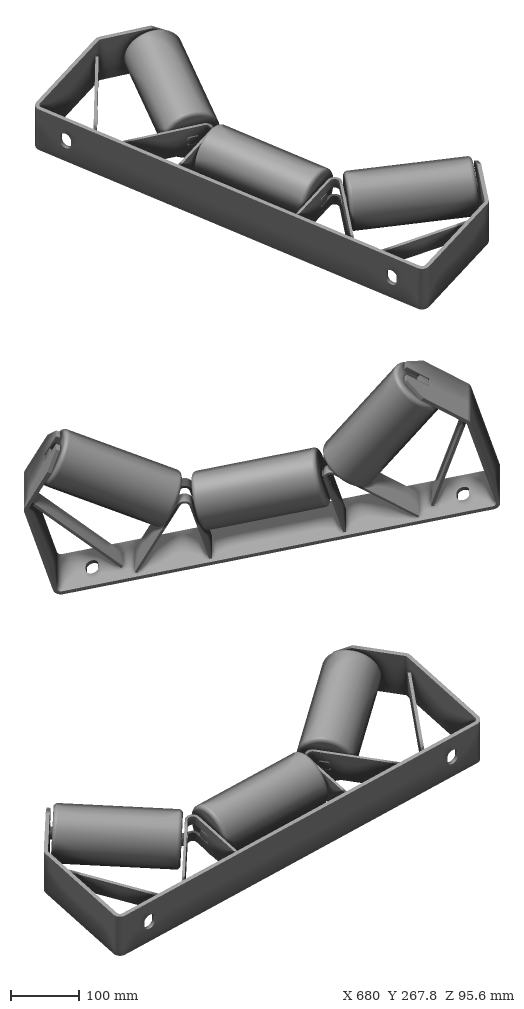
import cadquery as cq
import math

FRAME_WIDTH = 680.0
FRAME_HEIGHT = 80.0
FRAME_THICKNESS = 6.0
FRAME_BEND_RADIUS = 6.0
SHOULDER_Y = 179.0
TIP_CHAMFER_LENGTH = 30.0
TIP_CHAMFER_HEIGHT = 20.0
MOUNT_SLOT_SPACING = 564.5
MOUNT_SLOT_WIDTH = 19.0
MOUNT_SLOT_LENGTH = 28.0

ROLLER_LENGTH = 190.5
ROLLER_DIAMETER = 89.0
ROLLER_EDGE_RADIUS = 6.0
SHAFT_LENGTH = 208.0
SHAFT_RADIUS = 9.5
SHAFT_FLAT_HEIGHT = 14.0
TROUGH_ANGLE = 40.0
FORWARD_TILT = 2.0
MIDDLE_ROLLER_Y = 99.0
MIDDLE_ROLLER_Z = -7.5
SIDE_ROLLER_X = 207.0
SIDE_ROLLER_Y = 175.0
SIDE_ROLLER_Z = -4.0

SHAFT_SLOT_WIDTH = 16.0
ARM_SLOT_LENGTH = 41.0

BRACKET_THICKNESS = 4.0
BRACKET_HEIGHT = 50.0
BRACKET_BEND_RADIUS = 7.5
UPRIGHT_LEG_GAP = 5.0
SLOPING_LEG_GAP = 4.0

BRACE_THICKNESS = 5.0
BRACE_HEIGHT = 30.0
BRACE_WALL_Y = 166.0
BRACE_BASE_X = 238.0

trough = math.radians(TROUGH_ANGLE)
axis_outward = (-math.cos(trough), math.sin(trough))
arm_upward = (math.sin(trough), math.cos(trough))
half_width = FRAME_WIDTH / 2
slot_floor_distance = SHAFT_RADIUS
upright_leg_distance = ROLLER_LENGTH / 2 + UPRIGHT_LEG_GAP
sloping_leg_distance = ROLLER_LENGTH / 2 + SLOPING_LEG_GAP
arm_slot_z = SIDE_ROLLER_Z + math.sin(math.radians(FORWARD_TILT)) * SHAFT_LENGTH / 2

distance_to_shaft = ((half_width - SIDE_ROLLER_X) * arm_upward[0]
                     + (SIDE_ROLLER_Y - SHOULDER_Y) * arm_upward[1])
arm_length = distance_to_shaft - slot_floor_distance + ARM_SLOT_LENGTH


def moved(point, direction, distance):
    """The point shifted along a direction in the XY plane."""
    return (point[0] + direction[0] * distance, point[1] + direction[1] * distance)


def mirrored_x(body):
    return body.mirror("YZ")


def offset_path(points, thickness):
    """The path shifted to its left by the thickness, with mitred corners."""
    normals = []
    for (x0, y0), (x1, y1) in zip(points, points[1:]):
        length = math.hypot(x1 - x0, y1 - y0)
        normals.append(((y0 - y1) / length, (x1 - x0) / length))
    befores = normals[:1] + normals
    afters = normals + normals[-1:]
    shifted = []
    for point, before, after in zip(points, befores, afters):
        mitre = thickness / (1 + before[0] * after[0] + before[1] * after[1])
        shifted.append(moved(point, (before[0] + after[0], before[1] + after[1]), mitre))
    return shifted


def bent_strip(outside, thickness, height, center_z, bend_radius=0):
    """A flat bar on edge whose outside face follows a path, with its material on the left."""
    inside = offset_path(outside, thickness)
    strip = (cq.Workplane("XY", origin=(0, 0, center_z - height / 2))
             .polyline(outside + inside[::-1]).close().extrude(height))
    for corners, radius in ((outside, bend_radius + thickness), (inside, bend_radius)):
        for x, y in corners[1:-1]:
            corner = cq.selectors.NearestToPointSelector((x, y, center_z))
            strip = strip.edges(corner).fillet(radius)
    return strip


def side_axis_plane(center_z):
    """Plane at the -X side roller with its x along the arm, its y along Z and its normal outward."""
    return cq.Plane(origin=(-SIDE_ROLLER_X, SIDE_ROLLER_Y, center_z),
                    xDir=(-arm_upward[0], -arm_upward[1], 0),
                    normal=(*axis_outward, 0))


def shaft_slot(plane, depth):
    """Cutter for a slot that starts under the shaft, runs up and is open at the top.

    The plane has its x pointing down the slot; the cutter runs along the normal, or
    against it for a negative depth, and is long enough to pass any tip or bend.
    """
    cutter_length = ROLLER_LENGTH
    return (cq.Workplane(plane).center(slot_floor_distance - cutter_length / 2, 0)
            .rect(cutter_length, SHAFT_SLOT_WIDTH).extrude(depth))


def tip_chamfer(end):
    """Cutter for one corner of the -X arm tip: the upper one for end 1, the lower one for end -1."""
    tip = distance_to_shaft - arm_length
    edge = end * FRAME_HEIGHT / 2
    return (cq.Workplane(side_axis_plane(0))
            .polyline([(tip, edge),
                       (tip + TIP_CHAMFER_LENGTH, edge),
                       (tip, edge - end * TIP_CHAMFER_HEIGHT)])
            .close().extrude(ROLLER_LENGTH))


def make_frame():
    shoulder = (-half_width, SHOULDER_Y)
    left = [moved(shoulder, arm_upward, arm_length), shoulder, (-half_width, 0)]
    right = [(-x, y) for x, y in reversed(left)]
    frame = bent_strip(left + right, FRAME_THICKNESS, FRAME_HEIGHT, 0, FRAME_BEND_RADIUS)

    for end in (-1, 1):
        corner = tip_chamfer(end)
        frame = frame.cut(corner).cut(mirrored_x(corner))

    arm_slot = shaft_slot(side_axis_plane(arm_slot_z), ROLLER_LENGTH)
    frame = frame.cut(arm_slot).cut(mirrored_x(arm_slot))

    mount_slots = (cq.Workplane("XZ")
                   .pushPoints([(-MOUNT_SLOT_SPACING / 2, 0), (MOUNT_SLOT_SPACING / 2, 0)])
                   .slot2D(MOUNT_SLOT_LENGTH, MOUNT_SLOT_WIDTH, 90)
                   .extrude(-FRAME_THICKNESS))
    return frame.cut(mount_slots)


def make_bracket():
    """The -X bracket: an upright leg at the middle roller and a sloping leg at the side roller."""
    foot = (-upright_leg_distance, FRAME_THICKNESS)
    on_slope = moved((-SIDE_ROLLER_X, SIDE_ROLLER_Y), axis_outward, -sloping_leg_distance)
    to_apex = (foot[0] - on_slope[0]) / arm_upward[0]
    apex = moved(on_slope, arm_upward, to_apex)
    end_y = FRAME_THICKNESS + BRACKET_THICKNESS * axis_outward[1]
    end = moved(apex, arm_upward, (end_y - apex[1]) / arm_upward[1])
    bracket = bent_strip([foot, apex, end], BRACKET_THICKNESS, BRACKET_HEIGHT,
                         MIDDLE_ROLLER_Z, BRACKET_BEND_RADIUS)

    upright_plane = cq.Plane(origin=(0, MIDDLE_ROLLER_Y, MIDDLE_ROLLER_Z),
                             xDir=(0, -1, 0), normal=(-1, 0, 0))
    bend_depth = BRACKET_BEND_RADIUS + BRACKET_THICKNESS
    upright_slot = shaft_slot(upright_plane, upright_leg_distance + bend_depth)
    sloping_slot = shaft_slot(side_axis_plane(MIDDLE_ROLLER_Z), -sloping_leg_distance - bend_depth)
    return bracket.cut(upright_slot).cut(sloping_slot)


def make_brace():
    """The -X brace, a straight strip from the side wall down to the base."""
    on_wall = (FRAME_THICKNESS - half_width, BRACE_WALL_Y)
    on_base = (-BRACE_BASE_X, FRAME_THICKNESS)
    return bent_strip([on_wall, on_base], BRACE_THICKNESS, BRACE_HEIGHT, 0)


def make_roller():
    """A roller along X, centred at the origin, with its shaft ends flattened above and below."""
    shell = (cq.Workplane("YZ", origin=(-ROLLER_LENGTH / 2, 0, 0))
             .circle(ROLLER_DIAMETER / 2).extrude(ROLLER_LENGTH)
             .faces("<X or >X").edges().fillet(ROLLER_EDGE_RADIUS))
    shaft = (cq.Workplane("YZ", origin=(-SHAFT_LENGTH / 2, 0, 0))
             .circle(SHAFT_RADIUS).extrude(SHAFT_LENGTH))
    flats = cq.Workplane("XY").box(SHAFT_LENGTH, 2 * SHAFT_RADIUS, SHAFT_FLAT_HEIGHT)
    return shell.union(shaft.intersect(flats))


def make_rollers():
    middle = make_roller().translate((0, MIDDLE_ROLLER_Y, MIDDLE_ROLLER_Z))
    left = (make_roller()
            .rotate((0, 0, 0), (0, 1, 0), FORWARD_TILT)
            .rotate((0, 0, 0), (0, 0, 1), -TROUGH_ANGLE)
            .translate((-SIDE_ROLLER_X, SIDE_ROLLER_Y, SIDE_ROLLER_Z)))
    return [left, middle, mirrored_x(left)]


frame = make_frame()
bracket = make_bracket()
brackets = [bracket, mirrored_x(bracket)]
brace = make_brace()
braces = [brace, mirrored_x(brace)]
rollers = make_rollers()

bodies = [frame, *brackets, *braces, *rollers]
result = cq.Compound.makeCompound([body.solids().val() for body in bodies])